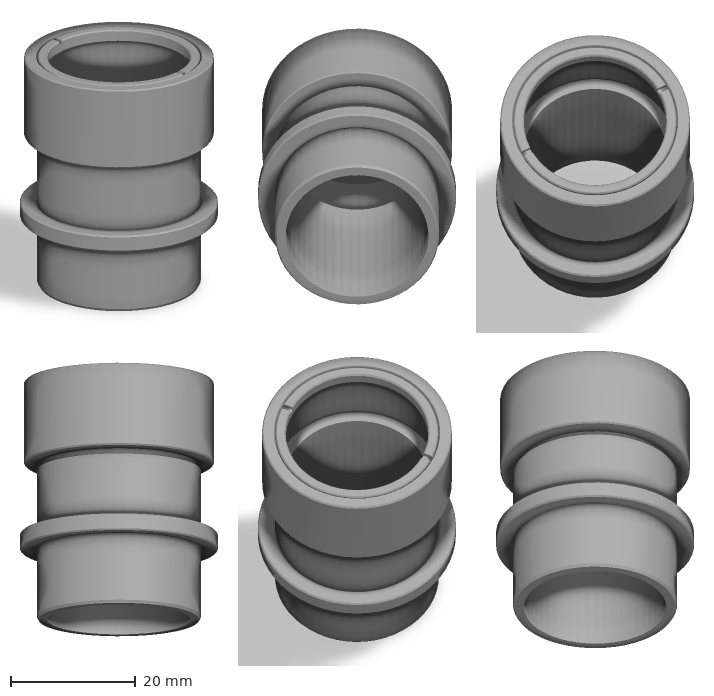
import cadquery as cq

total_height = 38.85
tube_radius = 13.15
tube_top_z = 24.4
neck_radius = 12.45
head_radius = 15.2
head_bottom_z = 25.4
head_chamfer = 0.25
clear_radius = 11.42

lead_in_height = 0.45
lead_in_width = 0.27

seat_radius = 13.05
seat_floor_z = 26.58
relief_radius = 13.17
relief_height = 0.62

lock_ring_radius = 15.85
lock_ring_bottom_z = 11.35
lock_ring_height = 2.72
lock_ring_chamfer = 0.25
lock_ring_bore_chamfer = 0.3

retaining_ring_height = 1.85
retaining_ring_chamfer = 0.25
slot_width = 0.85
slot_depth = 0.7


def cylinder(radius, bottom_z, top_z):
    """Upright cylinder on the Z axis."""
    return cq.Workplane("XY", origin=(0, 0, bottom_z)).circle(radius).extrude(top_z - bottom_z)


def cone(bottom_radius, bottom_z, top_radius, top_z):
    """Upright truncated cone on the Z axis."""
    return cq.Workplane(
        cq.Solid.makeCone(bottom_radius, top_radius, top_z - bottom_z, pnt=cq.Vector(0, 0, bottom_z))
    )


def make_housing():
    """Tube, neck and head in one piece, bored through and counterbored from the top."""
    lead_in = cone(tube_radius - lead_in_width, 0, tube_radius, lead_in_height)
    tube = cylinder(tube_radius, lead_in_height, tube_top_z)
    neck = cylinder(neck_radius, tube_top_z, head_bottom_z)
    head = cylinder(head_radius, head_bottom_z, total_height).edges().chamfer(head_chamfer)
    body = lead_in.union(tube).union(neck).union(head)

    clear_bore = cylinder(clear_radius, 0, total_height)
    seat = cylinder(seat_radius, seat_floor_z, total_height)
    relief = cylinder(relief_radius, seat_floor_z, seat_floor_z + relief_height)
    mouth = cone(seat_radius, total_height - lead_in_height, seat_radius + lead_in_width, total_height)
    return body.cut(clear_bore).cut(seat).cut(relief).cut(mouth)


def make_lock_ring():
    """Ring around the tube, chamfered outside and at both ends of its bore."""
    top_z = lock_ring_bottom_z + lock_ring_height
    blank = cylinder(lock_ring_radius, lock_ring_bottom_z, top_z).edges().chamfer(lock_ring_chamfer)
    bore = cylinder(tube_radius, lock_ring_bottom_z, top_z)
    return blank.cut(bore).edges(cq.selectors.RadiusNthSelector(0)).chamfer(lock_ring_bore_chamfer)


def make_retaining_ring():
    """Flat ring chamfered on its top edges, with a spanner slot across the top."""
    bottom_z = total_height - retaining_ring_height
    blank = cylinder(seat_radius, bottom_z, total_height)
    ring = blank.cut(cylinder(clear_radius, bottom_z, total_height))
    ring = ring.faces(">Z").edges().chamfer(retaining_ring_chamfer)
    slot = (
        cq.Workplane("XY", origin=(0, 0, total_height))
        .rect(2 * seat_radius, slot_width)
        .extrude(-slot_depth)
    )
    return ring.cut(slot)


housing = make_housing()
lock_ring = make_lock_ring()
retaining_ring = make_retaining_ring()

result = cq.Compound.makeCompound([housing.val(), lock_ring.val(), retaining_ring.val()])